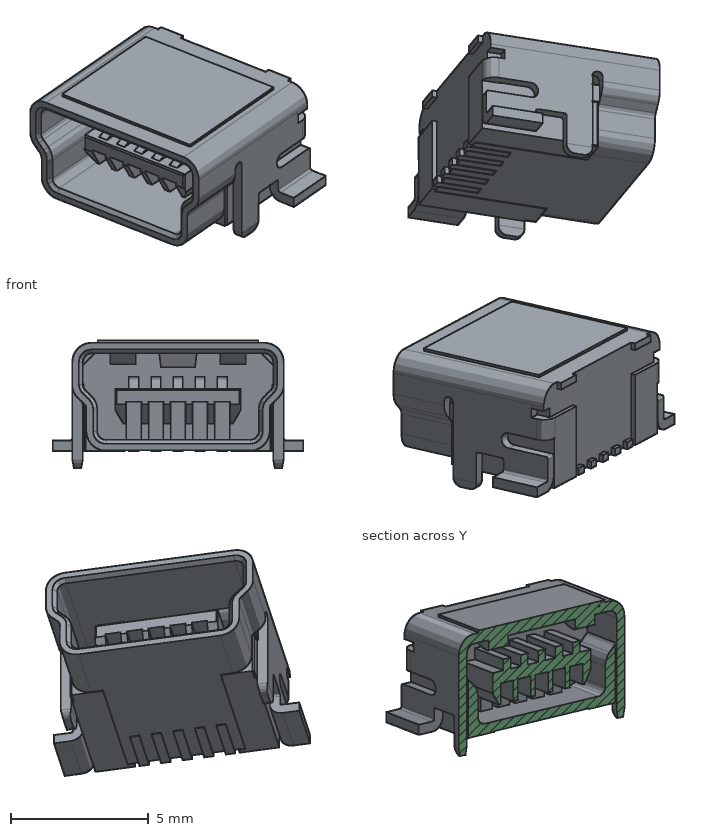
import cadquery as cq
import math


sheet = 0.39
shell_half = 3.84
shell_top = 3.94
shell_bottom = 0.03
lower_half = 3.32
shell_depth = 6.525
rear_y = 6.7
top_radius = 0.71
neck_top = 2.43
neck_radius = 0.69
neck_end_y = 2.2
lip_bevel = 0.15
inner_half = shell_half - sheet
inner_top = shell_top - sheet

label_half = 2.91
label_front = 0.7
label_length = 5.01
label_height = 0.09

leg_front = 2.59
leg_rear = 3.59
leg_tip = -0.62
leg_taper_z = -0.29
leg_taper = 0.06
leg_tip_radius = 0.32
slit_top = 2.785
foot_half_span = 4.55
foot_front = 4.78
foot_notch_top = 0.9
notch_radius = 0.09
foot_bend = 0.09
foot_corner_radius = 0.09
finger_bottom = 1.34
finger_top = 1.92
finger_front = 4.7
strap_top = 2.72
strap_radius = 0.47
window_front = 5.99
window_top = 3.08
rear_notch_half = 1.94
rear_tab_half = 2.96
rear_tab_thickness = 0.26

housing_half = 3.41
housing_bevel = 0.06
shoulder_half = 3.485
shoulder_bottom = 1.76
wall_y = 5.005
foot_pad_inner = 2.18
wall_relief = 0.42
wall_relief_depth = 0.09

tongue_half = 2.275
tongue_tip = 1.18
tongue_top = 2.275
tongue_nose_bottom = 1.7
tongue_root_bottom = 1
tongue_root_half = 1.98
tongue_root_straight = 1.49
tongue_slope_end = 1.59
tongue_bevel = 0.055
contact_pitch = 0.8
contact_count = 5
contact_width = 0.54
groove_width = 0.57
contact_top = 1.79
contact_drop_y = 4.55
tail_width = 0.355
rib_start = 1.42
rib_bend_y = 2.5
rib_bend_z = 2.64
rib_peak_y = 2.82
rib_top = 2.7
tail_thickness = 0.27

latch_x = 2
latch_width = 0.93
latch_drop = 0.39
latch_front = 2.73
latch_length = 1.46
key_top_half = 0.68
key_bottom_half = 0.62
key_drop = 0.5
key_length = 0.23


def box(x0, x1, y0, y1, z0, z1):
    """Box between two opposite corners."""
    return cq.Workplane("XY").box(x1 - x0, y1 - y0, z1 - z0, centered=False).translate((x0, y0, z0))


def plane_xz(y):
    """Sketch plane facing -Y at the given Y; extrude a negative length to go toward +Y."""
    return cq.Workplane("XZ", origin=(0, y, 0))


def plane_yz(x):
    """Sketch plane facing +X at the given X."""
    return cq.Workplane("YZ", origin=(x, 0, 0))


def both_sides(solid):
    """The solid together with its mirror image across the centre plane."""
    return solid.union(solid.mirror("YZ"))


def mouth_outline():
    """Closed outer outline of the mouth: wide top, 45 degree neck and narrow bottom."""
    diag = math.sqrt(0.5)
    hollow = neck_radius - sheet
    shoulder_x = shell_half - neck_radius * (1 - diag)
    shoulder_z = neck_top - neck_radius * diag
    hollow_x = lower_half + hollow * (1 - diag)
    hollow_z = shoulder_z - (shoulder_x - hollow_x)
    hollow_end_z = hollow_z - hollow * diag
    right = (
        plane_xz(0)
        .moveTo(0, shell_top)
        .lineTo(shell_half - top_radius, shell_top)
        .tangentArcPoint((shell_half, shell_top - top_radius), relative=False)
        .lineTo(shell_half, neck_top)
        .tangentArcPoint((shoulder_x, shoulder_z), relative=False)
        .lineTo(hollow_x, hollow_z)
        .tangentArcPoint((lower_half, hollow_end_z), relative=False)
        .lineTo(lower_half, shell_bottom + neck_radius)
        .tangentArcPoint((lower_half - neck_radius, shell_bottom), relative=False)
        .lineTo(0, shell_bottom)
    )
    return right.mirrorY()


def make_mouth():
    """Neck-shaped ring at the front, bevelled inside its lip."""
    ring = mouth_outline().extrude(-neck_end_y)
    ring = ring.cut(mouth_outline().offset2D(-sheet).extrude(-neck_end_y))
    lip = ring.faces("<Y").val().innerWires()[0]
    return ring.newObject(lip.Edges()).chamfer(lip_bevel)


def make_rear_shell():
    """Roof and straight side walls behind the mouth, with the rear roof tabs."""
    shell = box(-shell_half, shell_half, neck_end_y, shell_depth, 0, shell_top)
    shell = shell.edges("|Y and >Z").fillet(top_radius)
    inner = box(-inner_half, inner_half, neck_end_y, shell_depth, 0, inner_top)
    inner = inner.edges("|Y and >Z").fillet(top_radius - sheet)
    shell = shell.cut(inner)
    tab = box(rear_notch_half, rear_tab_half, shell_depth, rear_y, shell_top - rear_tab_thickness, shell_top)
    return shell.union(both_sides(tab))


def side_slit():
    """Round-topped slit through the right side wall, between the mouth and the leg."""
    radius = (leg_front - neck_end_y) / 2
    slit = box(inner_half, shell_half, neck_end_y, leg_front, 0, slit_top - radius)
    rounding = (
        plane_yz(inner_half)
        .center(neck_end_y + radius, slit_top - radius)
        .circle(radius)
        .extrude(sheet)
    )
    return slit.union(rounding)


def side_cutouts():
    """Openings in the right side wall."""
    notch = box(inner_half, shell_half, leg_rear, foot_front, 0, foot_notch_top)
    notch = notch.edges("|X and >Z").fillet(notch_radius)
    finger_radius = (finger_top - finger_bottom) / 2
    finger_center = finger_front + finger_radius
    finger = box(inner_half, shell_half, finger_center, rear_y, finger_bottom, finger_top)
    finger = finger.union(
        plane_yz(inner_half)
        .center(finger_center, finger_bottom + finger_radius)
        .circle(finger_radius)
        .extrude(sheet)
    )
    window = box(inner_half, shell_half, window_front, rear_y, strap_top, window_top)
    bend_clearance = box(inner_half, shell_half, foot_front, rear_y, 0, sheet + foot_bend)
    strap_space = box(inner_half, shell_half, window_front, rear_y, finger_top, strap_top)
    cutouts = notch.union(finger).union(window).union(bend_clearance).union(strap_space)
    return cutouts.union(side_slit())


def make_leg():
    """Board leg with rounded tip corners and tapered faces."""
    leg = box(inner_half, shell_half, leg_front, leg_rear, leg_tip, foot_notch_top)
    leg = leg.edges("|X and <Z").fillet(leg_tip_radius)
    taper = (
        plane_xz(leg_front)
        .polyline([
            (inner_half, foot_notch_top),
            (inner_half, leg_taper_z),
            (inner_half + leg_taper, leg_tip),
            (shell_half - leg_taper, leg_tip),
            (shell_half, leg_taper_z),
            (shell_half, foot_notch_top),
        ])
        .close()
        .extrude(leg_front - leg_rear)
    )
    return leg.intersect(taper)


def make_foot():
    """Solder foot bent outward from the side wall."""
    outer_bend = foot_bend + sheet
    return (
        plane_xz(foot_front)
        .moveTo(inner_half, finger_bottom)
        .lineTo(inner_half, outer_bend)
        .tangentArcPoint((inner_half + outer_bend, 0), relative=False)
        .lineTo(foot_half_span, 0)
        .lineTo(foot_half_span, sheet)
        .lineTo(shell_half + foot_bend, sheet)
        .tangentArcPoint((shell_half, sheet + foot_bend), relative=False)
        .lineTo(shell_half, finger_bottom)
        .close()
        .extrude(foot_front - rear_y)
        .edges("|X and >Y and >Z")
        .fillet(foot_corner_radius)
    )


def make_strap():
    """Strap folded from the side wall around the rear corner."""
    strap = box(rear_notch_half, shell_half, window_front, rear_y, finger_top, strap_top)
    return strap.edges("|Z and >X and >Y").fillet(strap_radius)


def make_housing():
    """Plastic body inside the shell, before the plug cavity is cut."""
    front = box(-housing_half, housing_half, neck_end_y, leg_front, shell_bottom, neck_top)
    front = front.edges("|Z and <Y").chamfer(housing_bevel)
    shoulder_inner = housing_half - housing_bevel
    shoulder = box(shoulder_inner, shoulder_half, neck_end_y, leg_front, shoulder_bottom, neck_top)
    rear = box(-housing_half, housing_half, leg_front, shell_depth, shell_bottom, neck_top)
    top = box(-inner_half, inner_half, leg_front, shell_depth, neck_top, inner_top)
    front_pad = box(foot_pad_inner, shoulder_inner, neck_end_y, leg_front, 0, shell_bottom)
    rear_pad = box(foot_pad_inner, housing_half, leg_front, shell_depth, 0, shell_bottom)
    corner = box(rear_notch_half, housing_half, shell_depth, rear_y, 0, finger_top)
    side_blocks = shoulder.union(front_pad).union(rear_pad).union(corner)
    return front.union(rear).union(top).union(both_sides(side_blocks))


def wall_corner_relief():
    """Shallow triangular recess in the upper right corner of the cavity's rear wall."""
    return (
        plane_xz(wall_y)
        .polyline([
            (inner_half, inner_top),
            (inner_half - wall_relief, inner_top),
            (inner_half, inner_top - wall_relief),
        ])
        .close()
        .extrude(-wall_relief_depth)
    )


def make_tongue():
    """Tongue with a straight nose and an underside that deepens and narrows toward the wall."""
    nose = box(-tongue_half, tongue_half, tongue_tip, wall_y, tongue_nose_bottom, tongue_top)
    nose = nose.faces("<Y").edges(">Z or |Z").chamfer(tongue_bevel)
    side = (
        plane_yz(-tongue_half)
        .polyline([
            (tongue_tip, tongue_nose_bottom),
            (tongue_slope_end, tongue_root_bottom),
            (wall_y, tongue_root_bottom),
            (wall_y, tongue_nose_bottom),
        ])
        .close()
        .extrude(2 * tongue_half)
    )
    section = (
        plane_xz(tongue_tip)
        .polyline([
            (-tongue_half, tongue_nose_bottom),
            (-tongue_half, tongue_root_straight),
            (-tongue_root_half, tongue_root_bottom),
            (tongue_root_half, tongue_root_bottom),
            (tongue_half, tongue_root_straight),
            (tongue_half, tongue_nose_bottom),
        ])
        .close()
        .extrude(tongue_tip - wall_y)
    )
    return nose.union(side.intersect(section))


def contact_groove(x):
    """Groove along the underside of the tongue, open at the tip."""
    half = groove_width / 2
    return box(x - half, x + half, tongue_tip, wall_y, tongue_root_bottom, contact_top)


def make_contact(x):
    """Upright contact blade at the end of its groove, its rib on top and its solder tail at the rear."""
    half = contact_width / 2
    blade = box(x - half, x + half, contact_drop_y, wall_y, shell_bottom, contact_top)
    rib = (
        plane_yz(x - tail_width / 2)
        .polyline([
            (rib_start, tongue_top),
            (rib_bend_y, rib_bend_z),
            (rib_peak_y, rib_top),
            (wall_y, rib_top),
            (wall_y, tongue_top),
        ])
        .close()
        .extrude(tail_width)
    )
    tail = box(x - tail_width / 2, x + tail_width / 2, wall_y, rear_y, 0, tail_thickness)
    return blade.union(rib).union(tail)


def make_latch():
    """Spring bump hanging from the roof."""
    return (
        plane_yz(latch_x - latch_width / 2)
        .moveTo(latch_front, inner_top)
        .threePointArc(
            (latch_front + latch_length / 2, inner_top - latch_drop),
            (latch_front + latch_length, inner_top),
        )
        .close()
        .extrude(latch_width)
    )


def make_key():
    """Sloping key where the roof meets the cavity wall."""
    side = (
        plane_yz(-key_top_half)
        .polyline([(wall_y - key_length, inner_top), (wall_y, inner_top), (wall_y, inner_top - key_drop)])
        .close()
        .extrude(2 * key_top_half)
    )
    section = (
        plane_xz(wall_y - key_length)
        .polyline([
            (-key_top_half, inner_top),
            (-key_bottom_half, inner_top - key_drop),
            (key_bottom_half, inner_top - key_drop),
            (key_top_half, inner_top),
        ])
        .close()
        .extrude(-key_length)
    )
    return side.intersect(section)


cavity = mouth_outline().offset2D(-sheet).extrude(-wall_y)
rear_shell = make_rear_shell().cut(both_sides(side_cutouts()))
side_parts = make_leg().union(make_foot()).union(make_strap())
body = rear_shell.union(make_housing()).union(both_sides(side_parts))
body = body.cut(cavity).union(make_mouth())
body = body.cut(both_sides(wall_corner_relief()))

contact_positions = [(index - (contact_count - 1) / 2) * contact_pitch for index in range(contact_count)]
tongue = make_tongue()
for contact_x in contact_positions:
    tongue = tongue.cut(contact_groove(contact_x)).union(make_contact(contact_x))
body = body.union(tongue).union(make_key()).union(both_sides(make_latch()))

label_rear = label_front + label_length
label = box(-label_half, label_half, label_front, label_rear, shell_top, shell_top + label_height)
result = body.union(label).solids()